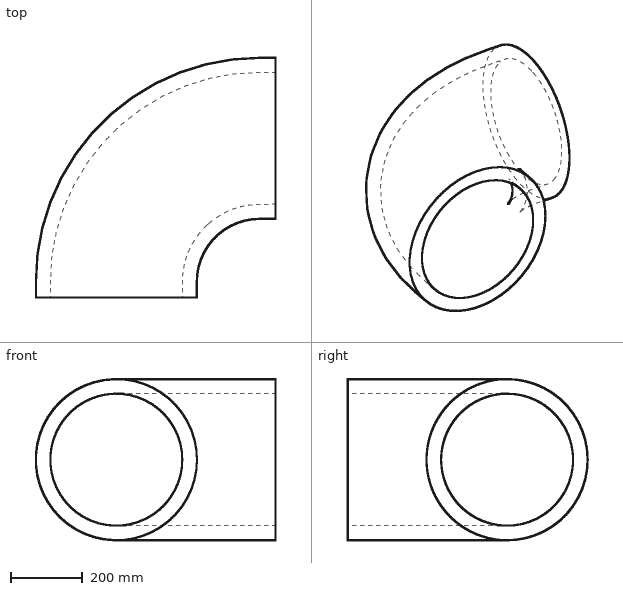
import cadquery as cq

overall_size = 670.0
outer_diameter = 450.0
bore_diameter = 368.5
collar_length = 45.0

bend_radius = overall_size - collar_length - outer_diameter / 2
bend_angle = 90


def ring(plane):
    """Pipe cross-section centred on the given plane."""
    return cq.Workplane(plane).circle(outer_diameter / 2).circle(bore_diameter / 2)


inlet_plane = cq.Plane(origin=(0, 0, 0), xDir=(1, 0, 0), normal=(0, 1, 0))
bend_plane = cq.Plane(origin=(0, collar_length, 0), xDir=(1, 0, 0), normal=(0, 1, 0))
outlet_plane = cq.Plane(
    origin=(bend_radius, collar_length + bend_radius, 0), xDir=(0, 1, 0), normal=(1, 0, 0)
)

inlet_collar = ring(inlet_plane).extrude(collar_length)
outlet_collar = ring(outlet_plane).extrude(collar_length)

bend = ring(bend_plane).revolve(bend_angle, (bend_radius, 0), (bend_radius, 1))

result = inlet_collar.union(bend).union(outlet_collar)